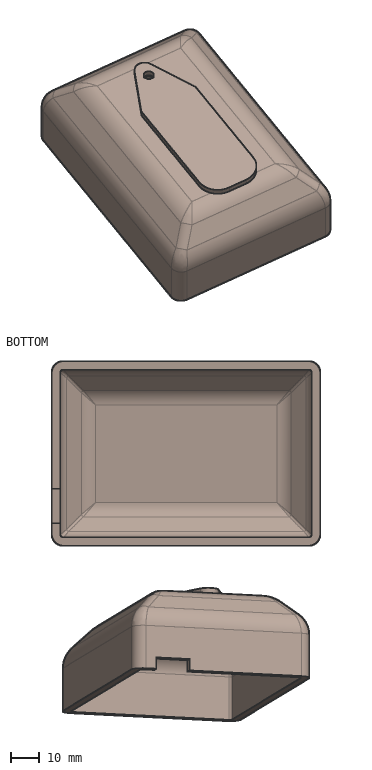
import cadquery as cq
import math

length = 93.0
width = 64.0
total_height = 32.3

plate_thickness = 2.0
housing_height = total_height - plate_thickness
wall = 3.0
shoulder_leg = 11.0
blend_radius = 9.95
corner_radius = 4.0

notch_width = 12.0
notch_height = 4.0
notch_center_y = 18.1

plate_tip_x = -31.0
plate_shoulder_x = -11.6
plate_end_x = 34.2
plate_width = 21.95
plate_tip_radius = 3.5
plate_end_radius = 7.5

hole_x = -24.7
plate_hole_diameter = 3.5
roof_hole_diameter = 2.4
roof_hole_depth = wall / 2


def shouldered_block(block_length, block_width, block_height, leg, blend, corner):
    """Block with 45 degree shoulders blended into its walls and roof, then rounded at the corners."""
    block = cq.Workplane("XY").box(block_length, block_width, block_height, centered=(True, True, False))
    block = block.faces(">Z").chamfer(leg)
    block = block.edges("(|X or |Y) and (not <Z)").fillet(blend)
    return block.edges("|Z").fillet(corner)


def blind_hole(diameter, depth, top_z):
    """Cylinder to cut at the hole position, going down from top_z."""
    return cq.Workplane("XY", origin=(hole_x, 0, top_z)).circle(diameter / 2).extrude(-depth)


def make_housing():
    """Cover of even wall thickness with the cable notch and the blind roof hole."""
    outside = shouldered_block(length, width, housing_height, shoulder_leg, blend_radius, corner_radius)

    leg_reduction = (2 - math.sqrt(2)) * wall
    inside = shouldered_block(
        length - 2 * wall,
        width - 2 * wall,
        housing_height - wall,
        shoulder_leg - leg_reduction,
        blend_radius - wall,
        corner_radius - wall,
    )

    notch = (
        cq.Workplane("XY", origin=(-length / 2 + wall / 2, notch_center_y, 0))
        .box(2 * wall, notch_width, notch_height, centered=(True, True, False))
    )
    roof_hole = blind_hole(roof_hole_diameter, roof_hole_depth, housing_height)
    return outside.cut(inside).cut(notch).cut(roof_hole)


def make_plate():
    """Flat plate with a rounded tip, tapered flanks, a straight body and two rounded end corners."""
    half_width = plate_width / 2
    tip_center_x = plate_tip_x + plate_tip_radius

    shoulder_dx = plate_shoulder_x - tip_center_x
    shoulder_distance = math.hypot(shoulder_dx, half_width)
    taper_angle = math.atan2(half_width, shoulder_dx) - math.asin(plate_tip_radius / shoulder_distance)
    tangent_x = tip_center_x - plate_tip_radius * math.sin(taper_angle)
    tangent_y = plate_tip_radius * math.cos(taper_angle)

    plate = (
        cq.Workplane("XY", origin=(0, 0, housing_height))
        .moveTo(tangent_x, tangent_y)
        .lineTo(plate_shoulder_x, half_width)
        .lineTo(plate_end_x, half_width)
        .lineTo(plate_end_x, -half_width)
        .lineTo(plate_shoulder_x, -half_width)
        .lineTo(tangent_x, -tangent_y)
        .threePointArc((plate_tip_x, 0), (tangent_x, tangent_y))
        .close()
        .extrude(plate_thickness)
    )
    plate = plate.edges("|Z and >X").fillet(plate_end_radius)
    return plate.cut(blind_hole(plate_hole_diameter, plate_thickness, total_height))


housing = make_housing()
plate = make_plate()

result = cq.Compound.makeCompound([housing.val(), plate.val()])